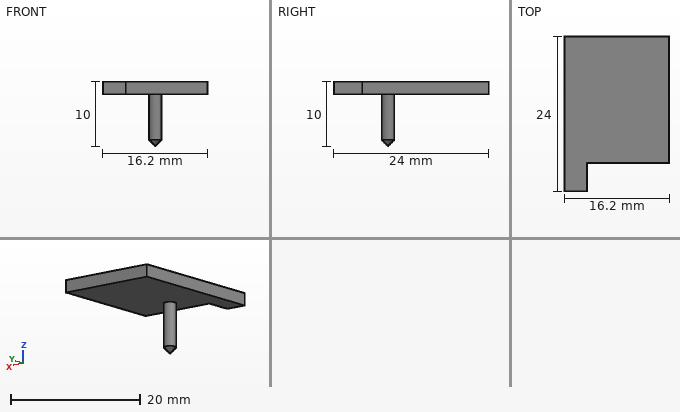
import cadquery as cq

width = 16.2
length = 24.0
height = 10.0
plate_thickness = 2.0
tab_width = 3.5
tab_length = 4.4

pin_diameter = 2.0
pin_radius = pin_diameter / 2
pin_from_tab_end = 8.4
point_length = pin_radius
pin_length = height - plate_thickness


def make_plate():
    """L-shaped plate: its underside is at Z = 0 and the tab ends at Y = 0."""
    outline = [
        (-width / 2, 0),
        (-width / 2 + tab_width, 0),
        (-width / 2 + tab_width, tab_length),
        (width / 2, tab_length),
        (width / 2, length),
        (-width / 2, length),
    ]
    return cq.Workplane("XY").polyline(outline).close().extrude(plate_thickness)


def make_pin():
    """Round pin with a conical point, revolved from its half profile."""
    overlap = plate_thickness / 2
    half_profile = [
        (0, overlap),
        (pin_radius, overlap),
        (pin_radius, point_length - pin_length),
        (0, -pin_length),
    ]
    pin = cq.Workplane("XZ").polyline(half_profile).close().revolve(360, (0, 0), (0, 1))
    return pin.translate((0, pin_from_tab_end, 0))


result = make_plate().union(make_pin())